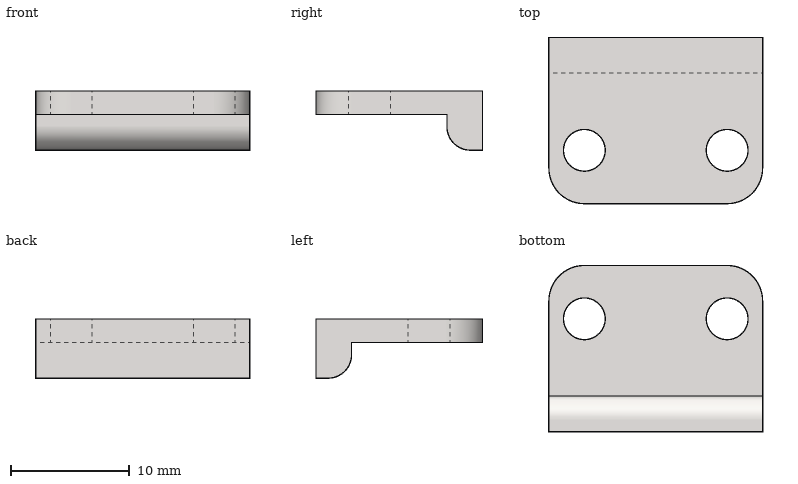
import cadquery as cq

width = 18.0
depth = 14.0
height = 5.0

plate_thickness = 2.0
corner_radius = 3.0

lip_thickness = 3.0
lip_round_radius = 2.0

hole_diameter = 3.5
hole_spacing = 12.0
hole_to_front = 4.5

front_y = -depth / 2
rear_y = depth / 2


def make_plate():
    """Flat plate with its underside on Z = 0 and its two front corners rounded."""
    plate = cq.Workplane("XY").box(width, depth, plate_thickness, centered=(True, True, False))
    return plate.edges("|Z").edges("<Y").fillet(corner_radius)


def make_lip():
    """Full-width lip along the rear edge, rounded along its lower front edge."""
    lip = (
        cq.Workplane("XY")
        .box(width, lip_thickness, height, centered=(True, False, False))
        .translate((0, rear_y - lip_thickness, plate_thickness - height))
    )
    return lip.edges("|X").edges("<Y").edges("<Z").fillet(lip_round_radius)


def make_holes():
    """Cutters for the pair of through holes near the front edge."""
    hole_y = front_y + hole_to_front
    return (
        cq.Workplane("XY")
        .pushPoints([(side * hole_spacing / 2, hole_y) for side in (-1, 1)])
        .circle(hole_diameter / 2)
        .extrude(plate_thickness)
    )


result = make_plate().union(make_lip()).cut(make_holes())